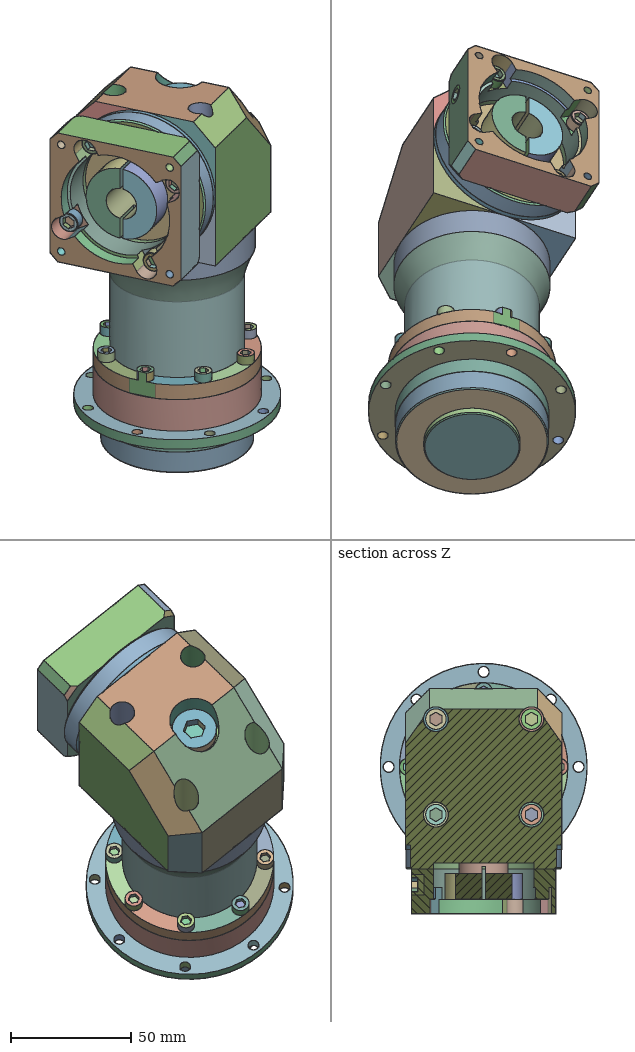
import cadquery as cq
import math


total_height = 170.0
head_size = 65.0
head_half = head_size / 2
head_bottom = total_height - head_size
input_z = total_height - head_half

hub_radius = 20.0
hub_top = 2.9
bearing_radius = 31.8
bearing_top = 12.8
pilot_radius = 32.0
flange_radius = 43.0
flange_bottom = 19.7
flange_top = 24.1
case_radius = 35.0
case_top = 38.8
joint_step = 0.08
cover_radius = case_radius - joint_step
cover_top = 45.5
neck_radius = 28.0
neck_top = 80.8
collar_bottom = 93.0
flare_mid_step = 1.7
edge_break = 0.5

flange_hole_radius = 2.2
flange_hole_circle = 39.5
around_count = 8

cover_screw_radius = 3.5
cover_screw_height = 4.0
cover_screw_circle = cover_radius - cover_screw_radius
cover_socket = 3.9
cover_socket_depth = 2.0
cover_flat_width = 11.9

head_slant = 30.0
head_chamfer = 10.0
screw_circle = 28.0
screw_count = 4
head_screw_angle = 45.0
screw_radius = 4.2
screw_height = 5.0
screw_socket = 5.0
screw_socket_depth = 2.5
screw_pocket_radius = 5.1
head_pocket_floor = 112.2

cap_y = 2.9
cap_radius = 9.2
cap_top = 162.5
cap_bore_radius = 10.2
cap_bore_floor = 158.1
cap_socket = 8.0
cap_socket_depth = 4.2

ring_base_length = 1.9
ring_length = 10.0
ring_radius = head_half - joint_step
ring_chamfer = 0.7
ring_front = -head_half - ring_length
ring_recess_depth = 2.5

adapter_length = 18.5
adapter_width = 60.0
adapter_corner = 3.5
adapter_front = ring_front - adapter_length
adapter_back_radius = 38.5
adapter_cone_length = 2.0
adapter_cone_growth = 1.5
pilot_bore_radius = 24.8
pilot_bore_depth = 6.0
cavity_radius = 23.5
cavity_floor = ring_front + ring_recess_depth
adapter_screw_angle = 30.0
screw_edge_break = 0.3
adapter_pocket_radius = 5.0
adapter_pocket_depth = pilot_bore_depth + screw_height
mount_hole_offset = 24.8
mount_hole_radius = 1.7
mount_hole_depth = 11.9
drill_point_angle = 118.0

clamp_radius = 16.2
clamp_bore_radius = 7.0
clamp_front = adapter_front + pilot_bore_depth
clamp_gap = 4.2
sleeve_radius = 10.2
sleeve_depth = 13.6
clamp_bore_depth = 23.8
slit_width = 1.4
slit_depth = 13.6

plug_radius = 4.0
plug_setback = 12.0
plug_rise = 10.9
plug_y = adapter_front + plug_setback
plug_z = input_z + plug_rise
plug_length = 5.1
plug_socket = 5.0
plug_socket_depth = 2.5


def rod(radius, bottom, top, x=0.0, y=0.0):
    """Upright cylinder between two levels."""
    return cq.Workplane("XY", origin=(x, y, bottom)).circle(radius).extrude(top - bottom)


def input_rod(radius, front, back, x=0.0, z=input_z):
    """Cylinder along Y between two places, front being the lower Y."""
    return cq.Workplane("XZ", origin=(x, back, z)).circle(radius).extrude(back - front)


def hexagon(plane, flats, depth):
    """Hexagonal prism of a given width across flats that rises from a plane."""
    return plane.polygon(6, flats / math.cos(math.pi / 6)).extrude(depth)


def upright_screw(radius, bottom, top, x, y, socket, socket_depth):
    """Screw head whose top face has a hexagon socket with two corners along Y."""
    plane = cq.Workplane(cq.Plane.XY(origin=(x, y, top)).rotated((0, 0, 90)))
    return rod(radius, bottom, top, x, y).cut(hexagon(plane, socket, -socket_depth))


def on_circle(radius, count, start_angle=0.0):
    """Points evenly spaced on a circle about the origin."""
    angles = [math.radians(start_angle + 360 * i / count) for i in range(count)]
    return [(radius * math.cos(a), radius * math.sin(a)) for a in angles]



def make_output_stage():
    """Turned output stage with its hollow flare, flange holes and cover screws."""
    flare_mid = (neck_radius + flare_mid_step, (neck_top + collar_bottom) / 2)
    neck = (
        cq.Workplane("XZ")
        .moveTo(0, cover_top)
        .lineTo(neck_radius, cover_top)
        .lineTo(neck_radius, neck_top)
        .threePointArc(flare_mid, (head_half, collar_bottom))
        .lineTo(head_half, head_bottom)
        .lineTo(0, head_bottom)
        .close()
        .revolve(360, (0, 0, 0), (0, 1, 0))
    )
    hub = rod(hub_radius, 0, hub_top).faces("<Z").chamfer(edge_break)
    bearing = rod(bearing_radius, hub_top, bearing_top).faces("<Z").chamfer(edge_break)
    stage = (
        neck.union(hub)
        .union(bearing)
        .union(rod(pilot_radius, bearing_top, flange_bottom))
        .union(rod(flange_radius, flange_bottom, flange_top))
        .union(rod(case_radius, flange_top, case_top))
        .union(rod(cover_radius, case_top, cover_top))
    )
    for x, y in on_circle(flange_hole_circle, around_count):
        stage = stage.cut(rod(flange_hole_radius, flange_bottom, flange_top, x, y))
    screw_top = cover_top + cover_screw_height
    for x, y in on_circle(cover_screw_circle, around_count):
        screw = upright_screw(
            cover_screw_radius, cover_top, screw_top, x, y, cover_socket, cover_socket_depth
        )
        stage = stage.union(screw)
    return stage.cut(make_cover_flat(screw_top))


def make_cover_flat(top):
    """Block that cuts the flat on the -Y side of the cover and its screw."""
    flat_y = math.sqrt(cover_radius**2 - (cover_flat_width / 2) ** 2)
    return (
        cq.Workplane("XY", origin=(0, -flat_y - cover_flat_width / 2, case_top))
        .rect(cover_flat_width, cover_flat_width)
        .extrude(top - case_top)
    )


def make_head():
    """Cubic head with its rear bevel, side chamfers, sunk screws and cap."""
    slant_start = head_half - head_slant
    outline = [
        (-head_half, head_bottom),
        (head_half, head_bottom),
        (head_half, total_height - head_slant),
        (slant_start, total_height),
        (-head_half, total_height),
    ]
    head = (
        cq.Workplane("YZ", origin=(-head_half, 0, 0))
        .polyline(outline)
        .close()
        .extrude(head_size)
        .faces("<X or >X")
        .edges("not (<Z or <Y)")
        .chamfer(head_chamfer)
    )
    for x, y in on_circle(screw_circle, screw_count, head_screw_angle):
        head = head.cut(rod(screw_pocket_radius, head_pocket_floor, total_height, x, y))
        screw = upright_screw(
            screw_radius, head_pocket_floor, head_pocket_floor + screw_height, x, y,
            screw_socket, screw_socket_depth,
        )
        head = head.union(screw)
    head = head.cut(rod(cap_bore_radius, cap_bore_floor, total_height, 0, cap_y))
    cap = upright_screw(cap_radius, cap_bore_floor, cap_top, 0, cap_y, cap_socket, cap_socket_depth)
    return head.union(cap)


def make_input_ring():
    """Round ring on the front of the head that carries the adapter."""
    base = input_rod(head_half, -head_half - ring_base_length, -head_half)
    ring = input_rod(ring_radius, ring_front, -head_half - ring_base_length)
    return base.union(ring.faces("<Y").chamfer(ring_chamfer))


def make_gearbox():
    """Output stage, head and input ring as one solid, hollowed for the clamp hub."""
    gearbox = make_output_stage().union(make_head()).union(make_input_ring())
    recess = input_rod(cavity_radius, ring_front, cavity_floor)
    sleeve_hole = input_rod(sleeve_radius, cavity_floor, cavity_floor + sleeve_depth)
    return gearbox.cut(recess).cut(sleeve_hole)



def make_plug_plane():
    """Plane on the outer -X face of the adapter, centred on the plug and facing +X."""
    return cq.Workplane("YZ", origin=(-adapter_width / 2, plug_y, plug_z))


def make_plug_blank():
    """Plain cylinder that fills the access hole."""
    return make_plug_plane().circle(plug_radius).extrude(plug_length)


def make_access_plug():
    """Round plug with a hexagon socket in its outer face."""
    return make_plug_blank().cut(hexagon(make_plug_plane(), plug_socket, plug_socket_depth))



def make_adapter_blank():
    """Square plate with bevelled corners, its back corners turned to a cone."""
    plate = (
        cq.Workplane("XZ", origin=(0, ring_front, input_z))
        .rect(adapter_width, adapter_width)
        .extrude(adapter_length)
        .edges("|Y")
        .chamfer(adapter_corner)
    )
    cone_front = ring_front - adapter_cone_length
    cone_radius = adapter_back_radius + adapter_cone_growth
    turned = (
        cq.Workplane("XY")
        .polyline(
            [
                (0, ring_front),
                (adapter_back_radius, ring_front),
                (cone_radius, cone_front),
                (adapter_width, cone_front),
                (adapter_width, adapter_front),
                (0, adapter_front),
            ]
        )
        .close()
        .revolve(360, (0, 0, 0), (0, 1, 0))
        .translate((0, 0, input_z))
    )
    return plate.intersect(turned)


def make_adapter_screw_pocket():
    """Radial slot along +X from the pilot bore, with a round outer end."""
    floor = adapter_front + adapter_pocket_depth
    slot = (
        cq.Workplane("XZ", origin=(screw_circle / 2, floor, input_z))
        .rect(screw_circle, 2 * adapter_pocket_radius)
        .extrude(adapter_pocket_depth)
    )
    return slot.union(input_rod(adapter_pocket_radius, adapter_front, floor, screw_circle))


def make_adapter_screw():
    """Screw head that stands on the floor of the +X pocket."""
    floor = adapter_front + adapter_pocket_depth
    top = floor - screw_height
    plane = cq.Workplane("XZ", origin=(screw_circle, top, input_z))
    head = input_rod(screw_radius, top, floor, screw_circle).faces("<Y").chamfer(screw_edge_break)
    return head.cut(hexagon(plane, screw_socket, -screw_socket_depth))


def make_mount_hole(x, z):
    """Blind drilled hole with a pointed end."""
    end = adapter_front + mount_hole_depth
    tip = end + mount_hole_radius / math.tan(math.radians(drill_point_angle / 2))
    profile = [
        (0, adapter_front),
        (mount_hole_radius, adapter_front),
        (mount_hole_radius, end),
        (0, tip),
    ]
    drill = cq.Workplane("XY").polyline(profile).close().revolve(360, (0, 0, 0), (0, 1, 0))
    return drill.translate((x, 0, input_z + z))


def make_adapter():
    """Bored square plate with its sunk screws, corner holes and access hole."""
    adapter = make_adapter_blank()
    adapter = adapter.cut(input_rod(cavity_radius, adapter_front, ring_front))
    adapter = adapter.cut(input_rod(pilot_bore_radius, adapter_front, clamp_front))
    axis_start = (0, 0, input_z)
    axis_end = (0, 1, input_z)
    turns = [-adapter_screw_angle - 360 * i / screw_count for i in range(screw_count)]
    for turn in turns:
        adapter = adapter.cut(make_adapter_screw_pocket().rotate(axis_start, axis_end, turn))
    for turn in turns:
        adapter = adapter.union(make_adapter_screw().rotate(axis_start, axis_end, turn))
    for x in (-mount_hole_offset, mount_hole_offset):
        for z in (-mount_hole_offset, mount_hole_offset):
            adapter = adapter.cut(make_mount_hole(x, z))
    return adapter.cut(make_plug_blank())



def make_clamp_hub():
    """Clamp collar on a sleeve, bored for the motor shaft and slit across."""
    hub = input_rod(clamp_radius, clamp_front, cavity_floor - clamp_gap)
    hub = hub.union(input_rod(sleeve_radius, clamp_front, cavity_floor + sleeve_depth))
    hub = hub.cut(input_rod(clamp_bore_radius, clamp_front, clamp_front + clamp_bore_depth))
    slit = (
        cq.Workplane("XZ", origin=(0, clamp_front + slit_depth, input_z))
        .rect(slit_width, 2 * clamp_radius)
        .extrude(slit_depth)
    )
    return hub.cut(slit)



gearbox = make_gearbox()
adapter = make_adapter()
clamp_hub = make_clamp_hub()
access_plug = make_access_plug()

bodies = [gearbox, adapter, clamp_hub, access_plug]
result = cq.Compound.makeCompound([body.solids().val() for body in bodies])